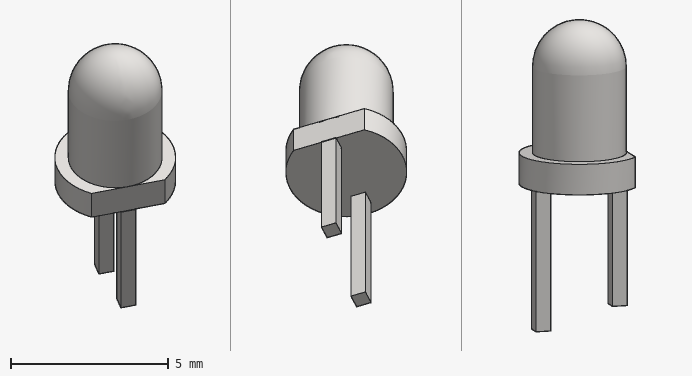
import cadquery as cq

total_height = 9.97
lens_radius = 1.5

flange_radius = 1.92
flange_height = 1.0
flat_offset = lens_radius

lead_width = 0.5
lead_spacing = 2.54
long_lead_length = 4.69
short_lead_length = 4.01

dome_base = total_height - long_lead_length - lens_radius


def make_lens():
    """Revolve the half profile of the domed lens about Z."""
    diagonal = lens_radius * 0.5 ** 0.5
    return (
        cq.Workplane("XZ")
        .lineTo(lens_radius, 0)
        .lineTo(lens_radius, dome_base)
        .threePointArc((diagonal, dome_base + diagonal), (0, dome_base + lens_radius))
        .close()
        .revolve(360, (0, 0), (0, 1))
    )


def make_flange():
    """Keep the part of the disc on the -X side of the flat."""
    disc = cq.Workplane("XY").circle(flange_radius).extrude(flange_height)
    kept_side = (
        cq.Workplane("XY")
        .center((flat_offset - flange_radius) / 2, 0)
        .rect(flat_offset + flange_radius, 2 * flange_radius)
        .extrude(flange_height)
    )
    return disc.intersect(kept_side)


def make_lead(x, length):
    """Square lead hanging from the underside of the flange."""
    return cq.Workplane("XY").center(x, 0).rect(lead_width, lead_width).extrude(-length)


result = make_flange().union(make_lens())
for lead_x, lead_length in (
    (-lead_spacing / 2, long_lead_length),
    (lead_spacing / 2, short_lead_length),
):
    result = result.union(make_lead(lead_x, lead_length))